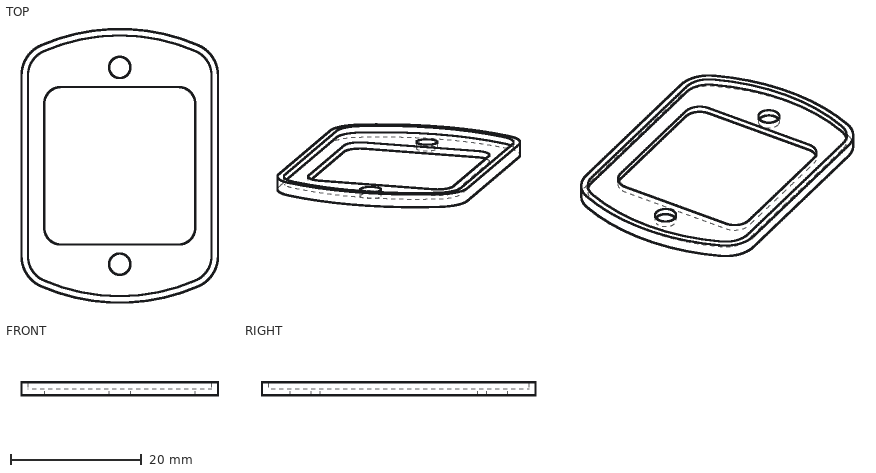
import cadquery as cq
import math

width = 30.0
length = 41.8
thickness = 2.0
corner_radius = 5.0
end_radius = 30.0

rim_width = 1.0
floor_thickness = 1.0

window_width = 23.0
window_length = 24.0
window_corner_radius = 2.5
hole_diameter = 3.2
hole_spacing = 30.0


def rounded_plate(inset, height):
    """Plate with straight sides, bowed ends and tangent corners, inset from the outer edge."""
    half_width = width / 2 - inset
    half_length = length / 2 - inset
    small_radius = corner_radius - inset
    large_radius = end_radius - inset

    corner_x = half_width - small_radius
    end_center_y = half_length - large_radius
    center_distance = large_radius - small_radius
    corner_y = end_center_y + math.sqrt(center_distance**2 - corner_x**2)

    join_angle = math.atan2(corner_y - end_center_y, corner_x)
    join_x = corner_x + small_radius * math.cos(join_angle)
    join_y = corner_y + small_radius * math.sin(join_angle)
    middle_x = corner_x + small_radius * math.cos(join_angle / 2)
    middle_y = corner_y + small_radius * math.sin(join_angle / 2)

    return (
        cq.Workplane("XY")
        .moveTo(half_width, -corner_y)
        .lineTo(half_width, corner_y)
        .threePointArc((middle_x, middle_y), (join_x, join_y))
        .threePointArc((0, half_length), (-join_x, join_y))
        .threePointArc((-middle_x, middle_y), (-half_width, corner_y))
        .lineTo(-half_width, -corner_y)
        .threePointArc((-middle_x, -middle_y), (-join_x, -join_y))
        .threePointArc((0, -half_length), (join_x, -join_y))
        .threePointArc((middle_x, -middle_y), (half_width, -corner_y))
        .close()
        .extrude(height)
    )


body = rounded_plate(0, thickness)

recess_depth = thickness - floor_thickness
recess = rounded_plate(rim_width, recess_depth).translate((0, 0, floor_thickness))

window = (
    cq.Workplane("XY")
    .rect(window_width, window_length)
    .extrude(thickness)
    .edges("|Z")
    .fillet(window_corner_radius)
)

screw_holes = (
    cq.Workplane("XY")
    .pushPoints([(0, -hole_spacing / 2), (0, hole_spacing / 2)])
    .circle(hole_diameter / 2)
    .extrude(thickness)
)

result = body.cut(recess).cut(window).cut(screw_holes)